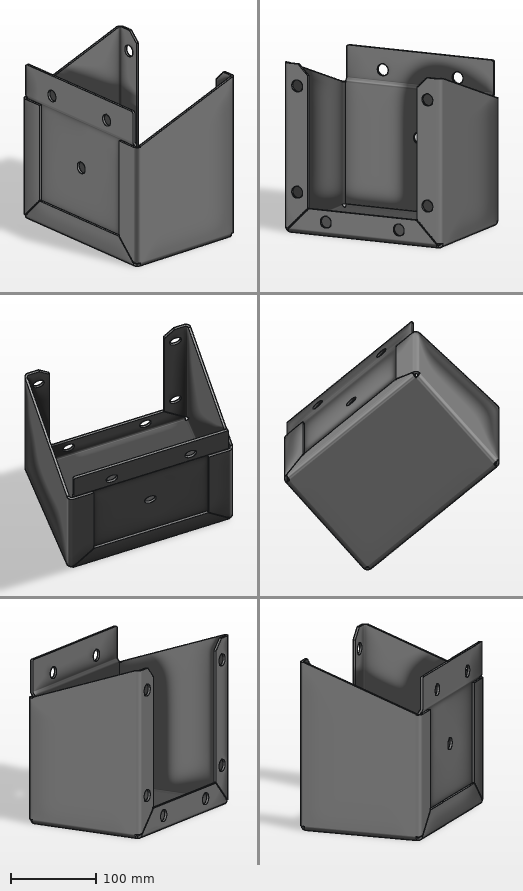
import cadquery as cq
import math

WIDTH = 206.4
DEPTH = 152.3
BACK_HEIGHT = 203.3
FRONT_HEIGHT = 152.3
WALL_FRONT_HEIGHT = 153.3

THICKNESS = 3.0
INNER_RADIUS = 3.0
BEND = THICKNESS + INNER_RADIUS

LIP_WIDTH = 31.5
MITER_GAP = 1.0
BACK_LIP_CHAMFER = LIP_WIDTH - 19.0

HOLE_DIAMETER = 14.2
FLANGE_HOLE_SPACING = 98.2
BOTTOM_HOLE_SPACING = 95.8
LIP_HOLE_INSET = 17.7
SIDE_HOLE_HEIGHTS = (50.0, 177.0)
FLANGE_HOLE_HEIGHT = 171.3
PANEL_HOLE_HEIGHT = 95.0

PANEL_INSET = 6.8
PANEL_TOP = 196.7
PANEL_CORNER_RADIUS = 2.5
JOG_TOP = 158.7
JOG_ANGLE = math.radians(45)


def box(x0, x1, y0, y1, z0, z1):
    """Box between opposite corners."""
    return cq.Workplane("XY").box(x1 - x0, y1 - y0, z1 - z0, centered=False).translate((x0, y0, z0))


def holes_along_y(points):
    """Cylinders through the full depth at the given (x, z) points."""
    return cq.Workplane("XZ").pushPoints(points).circle(HOLE_DIAMETER / 2).extrude(-DEPTH)


def hole_row(height, spacing):
    """Two (x, z) points, symmetric about the middle of the width."""
    return [(WIDTH / 2 + side * spacing / 2, height) for side in (-1, 1)]


def bend(plane, length):
    """Quarter tube in the corner at the plane origin, extruded along the plane normal."""
    diagonal = math.sqrt(0.5)
    outer_mid = BEND - BEND * diagonal
    inner_mid = BEND - INNER_RADIUS * diagonal
    return (
        cq.Workplane(plane)
        .moveTo(0, BEND)
        .threePointArc((outer_mid, outer_mid), (BEND, 0))
        .lineTo(BEND, THICKNESS)
        .threePointArc((inner_mid, inner_mid), (THICKNESS, BEND))
        .close()
        .extrude(length)
    )


def mirror_x(shape):
    return shape.mirror("YZ", (WIDTH / 2, 0, 0))


def mirror_y(shape):
    return shape.mirror("XZ", (0, DEPTH / 2, 0))


def make_side_wall():
    """Left wall, with its top edge sloping down to the front."""
    return (
        cq.Workplane("YZ")
        .polyline([
            (BEND, BEND),
            (DEPTH - BEND, BEND),
            (DEPTH - BEND, BACK_HEIGHT),
            (BEND, WALL_FRONT_HEIGHT),
        ])
        .close()
        .extrude(THICKNESS)
    )


def make_vertical_bend(height):
    """Bend joining the left wall to its front lip."""
    plane = cq.Plane(origin=(0, 0, BEND), xDir=(1, 0, 0), normal=(0, 0, 1))
    return bend(plane, height - BEND)


def make_side_lip(height, chamfer):
    """Left lip in the front plane, mitered at the bottom, with an optional top chamfer."""
    shift = MITER_GAP * math.sqrt(0.5)
    points = [
        (BEND, height),
        (BEND, BEND + shift),
        (LIP_WIDTH, LIP_WIDTH + shift),
    ]
    if chamfer:
        points += [(LIP_WIDTH, height - chamfer), (LIP_WIDTH - chamfer, height)]
    else:
        points.append((LIP_WIDTH, height))
    return cq.Workplane("XZ").polyline(points).close().extrude(-THICKNESS)


def make_bottom_lip():
    """Bottom lip in the front plane, mitered at both ends."""
    shift = MITER_GAP * math.sqrt(0.5)
    low_end = BEND + shift
    high_end = LIP_WIDTH + shift
    return (
        cq.Workplane("XZ")
        .polyline([
            (low_end, BEND),
            (WIDTH - low_end, BEND),
            (WIDTH - high_end, LIP_WIDTH),
            (high_end, LIP_WIDTH),
        ])
        .close()
        .extrude(-THICKNESS)
    )


def make_housing():
    """Folded box, open at the top, with lips round the front and back openings."""
    floor = box(BEND, WIDTH - BEND, BEND, DEPTH - BEND, 0, THICKNESS)

    floor_side_plane = cq.Plane(origin=(0, DEPTH - BEND, 0), xDir=(1, 0, 0), normal=(0, -1, 0))
    left_parts = [
        make_side_wall(),
        bend(floor_side_plane, DEPTH - 2 * BEND),
        make_vertical_bend(FRONT_HEIGHT),
        make_side_lip(FRONT_HEIGHT, 0),
        mirror_y(make_vertical_bend(BACK_HEIGHT)),
        mirror_y(make_side_lip(BACK_HEIGHT, BACK_LIP_CHAMFER)),
    ]

    floor_front_plane = cq.Plane(origin=(BEND, 0, 0), xDir=(0, 1, 0), normal=(1, 0, 0))
    front_parts = [bend(floor_front_plane, WIDTH - 2 * BEND), make_bottom_lip()]

    housing = floor
    for part in left_parts:
        housing = housing.union(part).union(mirror_x(part))
    for part in front_parts:
        housing = housing.union(part).union(mirror_y(part))

    side_points = [
        (x, z)
        for x in (LIP_HOLE_INSET, WIDTH - LIP_HOLE_INSET)
        for z in SIDE_HOLE_HEIGHTS
    ]
    drills = holes_along_y(side_points + hole_row(LIP_HOLE_INSET, BOTTOM_HOLE_SPACING))
    back_zone = box(0, WIDTH, DEPTH / 2, DEPTH, 0, BACK_HEIGHT)
    return housing.cut(drills.intersect(back_zone))


def make_front_panel():
    """Sheet behind the front lips, jogged forward above them into a flush flange."""
    sine = math.sin(JOG_ANGLE)
    cosine = math.cos(JOG_ANGLE)
    half_sine = math.sin(JOG_ANGLE / 2)
    half_cosine = math.cos(JOG_ANGLE / 2)

    arc_offset = (BEND + INNER_RADIUS) * (1 - cosine)
    straight_drop = (THICKNESS - arc_offset) / math.tan(JOG_ANGLE)
    jog_bottom = JOG_TOP - (BEND + INNER_RADIUS) * sine - straight_drop

    upper_y = BEND
    lower_y = THICKNESS - INNER_RADIUS

    def upper(radius, s, c):
        return (upper_y - radius * c, JOG_TOP - radius * s)

    def lower(radius, s, c):
        return (lower_y + radius * c, jog_bottom + radius * s)

    profile = (
        cq.Workplane("YZ", origin=(PANEL_INSET, 0, 0))
        .moveTo(0, PANEL_TOP)
        .lineTo(0, JOG_TOP)
        .threePointArc(upper(BEND, half_sine, half_cosine), upper(BEND, sine, cosine))
        .lineTo(*lower(INNER_RADIUS, sine, cosine))
        .threePointArc(lower(INNER_RADIUS, half_sine, half_cosine), (THICKNESS, jog_bottom))
        .lineTo(THICKNESS, PANEL_INSET)
        .lineTo(2 * THICKNESS, PANEL_INSET)
        .lineTo(2 * THICKNESS, jog_bottom)
        .threePointArc(lower(BEND, half_sine, half_cosine), lower(BEND, sine, cosine))
        .lineTo(*upper(INNER_RADIUS, sine, cosine))
        .threePointArc(upper(INNER_RADIUS, half_sine, half_cosine), (THICKNESS, JOG_TOP))
        .lineTo(THICKNESS, PANEL_TOP)
        .close()
    )
    panel = profile.extrude(WIDTH - 2 * PANEL_INSET)
    panel = panel.faces(">Z").edges("|Y").fillet(PANEL_CORNER_RADIUS)
    points = hole_row(FLANGE_HOLE_HEIGHT, FLANGE_HOLE_SPACING) + [(WIDTH / 2, PANEL_HOLE_HEIGHT)]
    return panel.cut(holes_along_y(points))


housing = make_housing()
front_panel = make_front_panel()

result = cq.Compound.makeCompound([housing.val(), front_panel.val()])